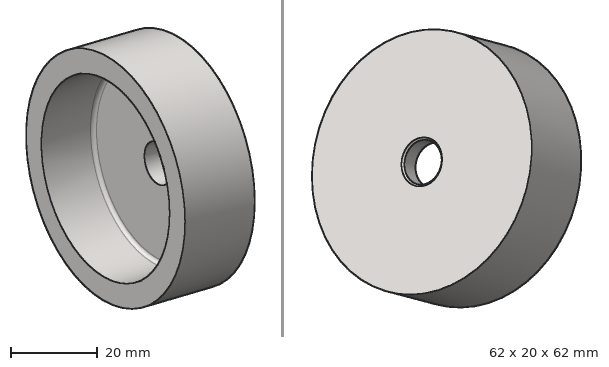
import cadquery as cq

outer_diameter = 62.0
height = 20.0
pocket_diameter = 50.0
pocket_depth = 15.0
floor_fillet_radius = 1.0
bore_diameter = 10.5
bore_chamfer = 0.5

base_thickness = height - pocket_depth
back_plane = cq.Workplane("XZ", origin=(0, height / 2, 0))


def make_body():
    """Plain outer cylinder."""
    return back_plane.circle(outer_diameter / 2).extrude(height)


def make_pocket():
    """Blind round pocket with a rounded edge around its floor."""
    pocket = back_plane.workplane(offset=base_thickness).circle(pocket_diameter / 2).extrude(pocket_depth)
    return pocket.edges(">Y").fillet(floor_fillet_radius)


def make_bore():
    """Central hole through the base, widened by a chamfer at the back face."""
    hole = back_plane.circle(bore_diameter / 2).extrude(height)
    back_diameter = bore_diameter + 2 * bore_chamfer
    countersink = back_plane.circle(back_diameter / 2).extrude(bore_chamfer, taper=45)
    return hole.union(countersink)


result = make_body().cut(make_pocket()).cut(make_bore())